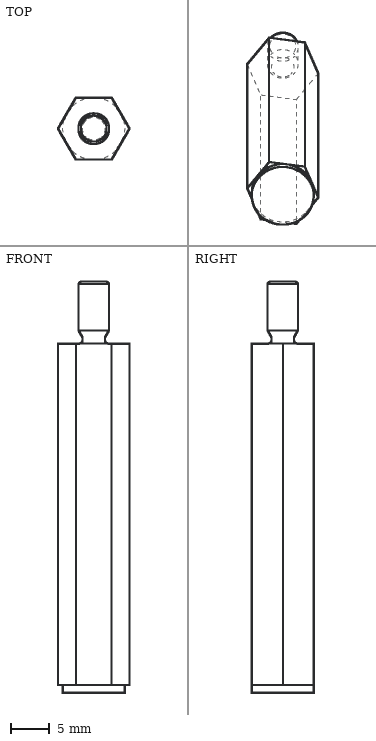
import cadquery as cq
import math

total_length = 53.0
across_flats = 8.0
across_corners = across_flats / math.cos(math.radians(30))

collar_height = 1.0

stud_length = 8.0
stud_radius = 4.0 / 2
stud_chamfer = 0.3

undercut_length = 1.7
taper_angle = math.radians(30)
neck_radius = 2.9 / 2
neck_fillet = 0.4

body_top = total_length - stud_length
undercut_top = body_top + undercut_length
taper_height = (stud_radius - neck_radius) / math.tan(taper_angle)
taper_bottom = undercut_top - taper_height


def make_body():
    """Hexagonal bar standing on a round collar, corners along X."""
    collar = cq.Workplane("XY").circle(across_flats / 2).extrude(collar_height)
    hexagon = (
        cq.Workplane("XY", origin=(0, 0, collar_height))
        .polygon(6, across_corners)
        .extrude(body_top - collar_height)
    )
    return collar.union(hexagon)


def make_stud():
    """Turned stud with a chamfered tip and a tapered undercut, filleted at both ends of the neck."""
    arc_middle = neck_fillet * (1 - math.cos(math.radians(45)))
    blend_start = taper_bottom - neck_fillet * math.tan(taper_angle / 2)

    def blend_point(angle):
        """Point on the arc that turns from the neck into the taper."""
        return (
            neck_radius + neck_fillet * (1 - math.cos(angle)),
            blend_start + neck_fillet * math.sin(angle),
        )

    profile = (
        cq.Workplane("XZ")
        .moveTo(0, body_top)
        .lineTo(neck_radius + neck_fillet, body_top)
        .threePointArc(
            (neck_radius + arc_middle, body_top + arc_middle),
            (neck_radius, body_top + neck_fillet),
        )
        .lineTo(neck_radius, blend_start)
        .threePointArc(blend_point(taper_angle / 2), blend_point(taper_angle))
        .lineTo(stud_radius, undercut_top)
        .lineTo(stud_radius, total_length - stud_chamfer)
        .lineTo(stud_radius - stud_chamfer, total_length)
        .lineTo(0, total_length)
        .close()
    )
    return profile.revolve(360, (0, 0, 0), (0, 1, 0))


result = make_body().union(make_stud())